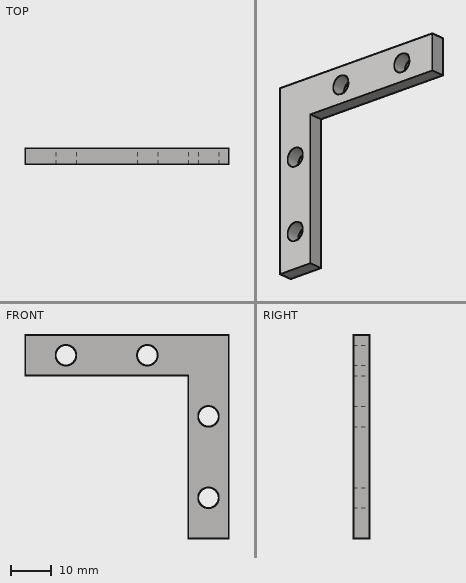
import cadquery as cq

side_length = 50.0
leg_width = 10.0
thickness = 4.0
hole_diameter = 5.0
end_hole_offset = 10.0
hole_spacing = 20.0

outline = [
    (0, 0),
    (-side_length, 0),
    (-side_length, -leg_width),
    (-leg_width, -leg_width),
    (-leg_width, -side_length),
    (0, -side_length),
]

end_hole_distance = side_length - end_hole_offset
hole_distances = [end_hole_distance, end_hole_distance - hole_spacing]
hole_centers = []
for distance in hole_distances:
    hole_centers.append((-distance, -leg_width / 2))
    hole_centers.append((-leg_width / 2, -distance))

plate = cq.Workplane("XZ").polyline(outline).close().extrude(thickness)
holes = (
    cq.Workplane("XZ")
    .pushPoints(hole_centers)
    .circle(hole_diameter / 2)
    .extrude(thickness)
)

result = plate.cut(holes)